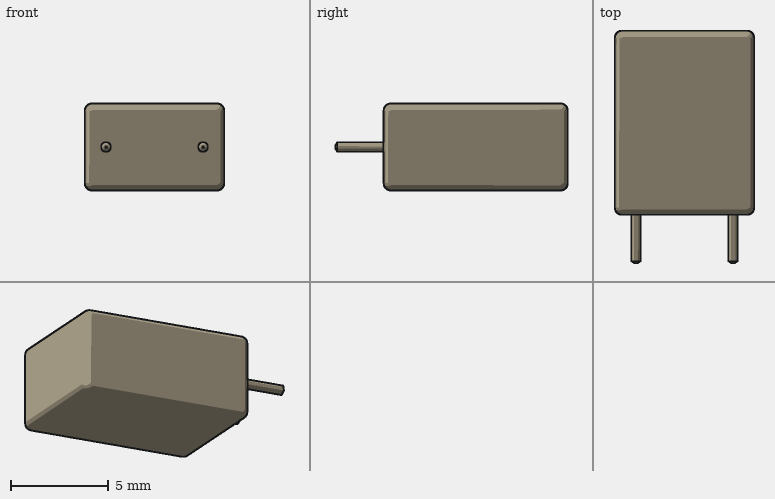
import cadquery as cq

total_length = 12.0
body_width = 7.2
body_height = 4.5
edge_radius = 0.4

lead_length = 2.5
lead_diameter = 0.5
lead_spacing = 5.0
tip_length = 0.12
tip_inset = 0.2

body_length = total_length - lead_length
front_y = -body_length / 2


def make_body():
    """Rectangular case with every edge rounded, centred on the origin."""
    return cq.Workplane("XY").box(body_width, body_length, body_height).edges().fillet(edge_radius)


def make_lead(x):
    """Round lead running toward -Y, with a tapered tip."""
    lead = (
        cq.Workplane("XZ", origin=(x, front_y, 0))
        .circle(lead_diameter / 2)
        .extrude(lead_length)
    )
    return lead.faces("<Y").chamfer(tip_length, tip_inset)


result = make_body()
for side in (-1, 1):
    result = result.union(make_lead(side * lead_spacing / 2))